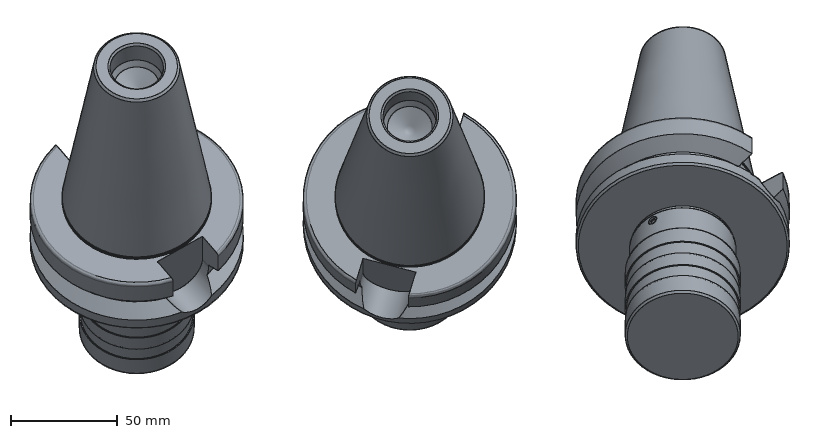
import cadquery as cq
import math

TAPER_LENGTH = 101.8
TAPER_RATIO = 7 / 24
GAUGE_RADIUS = 69.85 / 2
TAPER_TIP_CHAMFER = 1.0
COLLAR_DROP = 1.2
RELIEF_DEPTH = 0.3
RELIEF_WIDTH = 1.5

FLANGE_RADIUS = 50.0
FLANGE_TOP = -3.0
FLANGE_BOTTOM = -38.0
FLANGE_CHAMFER = 1.0
FLANGE_TOP_ROUND = 1.5
GROOVE_RADIUS = 42.5
GROOVE_CENTRE = -23.3
GROOVE_FLOOR_WIDTH = 6.4
GROOVE_FLANK_ANGLE = 30.0

SLOT_WIDTH = 25.7
SLOT_FLOOR_OFFSET = 35.4
SLOT_BOTTOM = -34.0

SHANK_RADIUS = 25.0
SHANK_NECK_LENGTH = 2.0
SHANK_NECK_DEPTH = 0.5
SLEEVE_RADIUS = 27.0
SLEEVE_TOP = -57.0
SLEEVE_BOTTOM = -105.0
SLEEVE_TOP_CHAMFER = 0.5
SLEEVE_BOTTOM_CHAMFER = 1.0
BAND_RADIUS = 26.4
BANDS = [(-67.4, -76.1), (-84.8, -93.0)]

BORE_RADIUS = 12.5
BORE_DEPTH = 14.8
BORE_CHAMFER = 1.0
BORE_SEAT_WIDTH = 2.0
BORE_SEAT_HEIGHT = 2.8
DRILL_POINT_HALF_ANGLE = 59.0

SCREW_HOLE_RADIUS = 2.3
SCREW_HOLE_DEPTH = 1.0
SCREW_SOCKET_RADIUS = 1.25
SCREW_SOCKET_DEPTH = 3.0
SCREW_HOLE_Z = -43.9


def revolve_outline(outline):
    """Revolve an open (radius, z) outline that starts and ends on the Z axis."""
    return outline.close().revolve(360, (0, 0), (0, 1))


def make_body():
    tip_radius = GAUGE_RADIUS - TAPER_LENGTH * TAPER_RATIO / 2
    chamfer_radius = tip_radius + TAPER_TIP_CHAMFER * TAPER_RATIO / 2
    collar_radius = GAUGE_RADIUS + COLLAR_DROP * TAPER_RATIO / 2
    relief_bottom = -COLLAR_DROP - RELIEF_WIDTH
    flank_height = (FLANGE_RADIUS - GROOVE_RADIUS) * math.tan(math.radians(GROOVE_FLANK_ANGLE))
    floor_top = GROOVE_CENTRE + GROOVE_FLOOR_WIDTH / 2
    floor_bottom = GROOVE_CENTRE - GROOVE_FLOOR_WIDTH / 2
    shank_neck_bottom = FLANGE_BOTTOM - SHANK_NECK_LENGTH
    outline = (
        cq.Workplane("XZ")
        .moveTo(0, TAPER_LENGTH)
        .lineTo(tip_radius - TAPER_TIP_CHAMFER, TAPER_LENGTH)
        .lineTo(chamfer_radius, TAPER_LENGTH - TAPER_TIP_CHAMFER)
        .lineTo(collar_radius, -COLLAR_DROP)
        .lineTo(collar_radius - RELIEF_DEPTH, -COLLAR_DROP - RELIEF_DEPTH)
        .lineTo(collar_radius - RELIEF_DEPTH, relief_bottom + RELIEF_DEPTH)
        .lineTo(collar_radius, relief_bottom)
        .lineTo(collar_radius, FLANGE_TOP)
        .lineTo(FLANGE_RADIUS - FLANGE_TOP_ROUND, FLANGE_TOP)
        .radiusArc((FLANGE_RADIUS, FLANGE_TOP - FLANGE_TOP_ROUND), FLANGE_TOP_ROUND)
        .lineTo(FLANGE_RADIUS, floor_top + flank_height)
        .lineTo(GROOVE_RADIUS, floor_top)
        .lineTo(GROOVE_RADIUS, floor_bottom)
        .lineTo(FLANGE_RADIUS, floor_bottom - flank_height)
        .lineTo(FLANGE_RADIUS, FLANGE_BOTTOM + FLANGE_CHAMFER)
        .lineTo(FLANGE_RADIUS - FLANGE_CHAMFER, FLANGE_BOTTOM)
        .lineTo(SHANK_RADIUS - SHANK_NECK_DEPTH, FLANGE_BOTTOM)
        .lineTo(SHANK_RADIUS - SHANK_NECK_DEPTH, shank_neck_bottom + SHANK_NECK_DEPTH)
        .lineTo(SHANK_RADIUS, shank_neck_bottom)
        .lineTo(SHANK_RADIUS, SLEEVE_TOP)
        .lineTo(SLEEVE_RADIUS - SLEEVE_TOP_CHAMFER, SLEEVE_TOP)
        .lineTo(SLEEVE_RADIUS, SLEEVE_TOP - SLEEVE_TOP_CHAMFER)
        .lineTo(SLEEVE_RADIUS, SLEEVE_BOTTOM + SLEEVE_BOTTOM_CHAMFER)
        .lineTo(SLEEVE_RADIUS - SLEEVE_BOTTOM_CHAMFER, SLEEVE_BOTTOM)
        .lineTo(0, SLEEVE_BOTTOM)
    )
    return revolve_outline(outline)


def make_band(top, bottom):
    """Ring that cuts one recessed band into the sleeve."""
    ring = cq.Workplane("XY").workplane(offset=bottom).circle(FLANGE_RADIUS).circle(BAND_RADIUS)
    return ring.extrude(top - bottom)


def make_drive_slot(side):
    """Round-ended slot cutter on the +X (side = 1) or -X (side = -1) flank."""
    half_width = SLOT_WIDTH / 2
    arc_centre = SLOT_BOTTOM + half_width
    outline = (
        cq.Workplane("YZ", origin=(side * SLOT_FLOOR_OFFSET, 0, 0))
        .moveTo(-half_width, 0)
        .lineTo(-half_width, arc_centre)
        .threePointArc((0, SLOT_BOTTOM), (half_width, arc_centre))
        .lineTo(half_width, 0)
        .close()
    )
    return outline.extrude(side * FLANGE_RADIUS)


def make_bore():
    """Chamfered bore from the taper tip, with a steep seat ring and a conical floor."""
    bore_bottom = TAPER_LENGTH - BORE_DEPTH
    floor_radius = BORE_RADIUS - BORE_SEAT_WIDTH
    cone_height = floor_radius / math.tan(math.radians(DRILL_POINT_HALF_ANGLE))
    outline = (
        cq.Workplane("XZ")
        .moveTo(0, TAPER_LENGTH)
        .lineTo(BORE_RADIUS + BORE_CHAMFER, TAPER_LENGTH)
        .lineTo(BORE_RADIUS, TAPER_LENGTH - BORE_CHAMFER)
        .lineTo(BORE_RADIUS, bore_bottom + BORE_SEAT_HEIGHT)
        .lineTo(floor_radius, bore_bottom)
        .lineTo(0, bore_bottom - cone_height)
    )
    return revolve_outline(outline)


def make_screw_hole():
    """Stepped round hole entering the shank from -Y."""
    face = cq.Workplane("XZ", origin=(0, -SHANK_RADIUS, SCREW_HOLE_Z))
    recess = face.circle(SCREW_HOLE_RADIUS).extrude(-SCREW_HOLE_DEPTH)
    socket = face.circle(SCREW_SOCKET_RADIUS).extrude(-SCREW_SOCKET_DEPTH)
    return recess.union(socket)


result = make_body()
for band_top, band_bottom in BANDS:
    result = result.cut(make_band(band_top, band_bottom))
for slot_side in (-1, 1):
    result = result.cut(make_drive_slot(slot_side))
result = result.cut(make_bore())
result = result.cut(make_screw_hole())